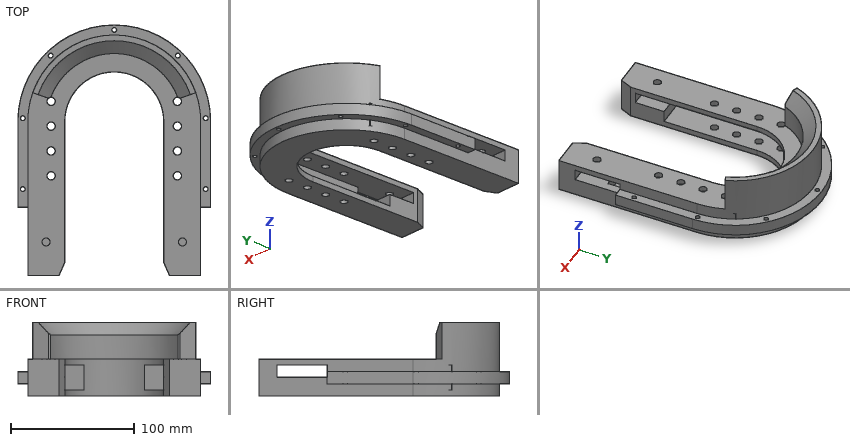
import cadquery as cq
import math

outer_radius = 70.1
inner_radius = 40.0
body_height = 30.0
leg_end_y = -125.0
tip_chamfer_width = 4.7
tip_chamfer_length = 10.5

flange_radius = 78.2
flange_bottom = 10.0
flange_thickness = 10.0
flange_end_y = -69.7
flange_hole_diameter = 3.7
flange_hole_circle = 74.2
flange_hole_step = 44.0
flange_leg_hole_y = -54.9

total_height = 60.0
collar_inner_radius = 55.0
mouth_depth = 10.4
collar_end_angle = 19.4

pocket_bottom = 5.0
pocket_top = 25.2
pocket_outer_x = 62.8
pocket_front_y = -84.1
pocket_back_y = 31.5
window_bottom = 15.5
window_front_y = -110.1

leg_hole_diameter = 6.5
leg_hole_x = 51.2
first_leg_hole_y = 16.3
leg_hole_pitch = 20.1
leg_hole_count = 4
end_hole_x = 55.3
end_hole_y = -97.7


def arch(radius, end_y, bottom, height):
    """Solid half disc extended by a straight block down to end_y."""
    return (
        cq.Workplane("XY", origin=(0, 0, bottom))
        .moveTo(-radius, end_y)
        .lineTo(-radius, 0)
        .threePointArc((0, radius), (radius, 0))
        .lineTo(radius, end_y)
        .close()
        .extrude(height)
    )


def box_between(x_range, y_range, z_range):
    """Block spanning the given coordinate ranges."""
    lows = [min(r) for r in (x_range, y_range, z_range)]
    sizes = [max(r) - min(r) for r in (x_range, y_range, z_range)]
    return cq.Workplane("XY").box(*sizes, centered=False).translate(tuple(lows))


def drills(points, diameter, bottom=0):
    """Vertical cutters from the given level up to the top of the part."""
    return (
        cq.Workplane("XY", origin=(0, 0, bottom))
        .pushPoints(points)
        .circle(diameter / 2)
        .extrude(total_height - bottom)
    )


def throat():
    """Opening between the legs, widened by the chamfers at the leg tips."""
    tip_half_gap = inner_radius + tip_chamfer_width
    chamfer_start_y = leg_end_y + tip_chamfer_length
    return (
        cq.Workplane("XY")
        .moveTo(-tip_half_gap, leg_end_y)
        .lineTo(-inner_radius, chamfer_start_y)
        .lineTo(-inner_radius, 0)
        .threePointArc((0, inner_radius), (inner_radius, 0))
        .lineTo(inner_radius, chamfer_start_y)
        .lineTo(tip_half_gap, leg_end_y)
        .close()
        .extrude(body_height)
    )


def collar():
    """Ring sector with radial ends and a 45 degree mouth."""
    mouth_radius = collar_inner_radius + mouth_depth
    profile = (
        cq.Workplane("XZ")
        .moveTo(collar_inner_radius, body_height)
        .lineTo(outer_radius, body_height)
        .lineTo(outer_radius, total_height)
        .lineTo(mouth_radius, total_height)
        .lineTo(collar_inner_radius, total_height - mouth_depth)
        .close()
    )
    sweep = 180 - 2 * collar_end_angle
    sector = profile.revolve(sweep, (0, 0, 0), (0, 1, 0))
    return sector.rotate((0, 0, 0), (0, 0, 1), collar_end_angle)


def flange_hole_points():
    """Five holes around the arc and one on each straight side."""
    points = [(side * flange_hole_circle, flange_leg_hole_y) for side in (-1, 1)]
    for index in range(-2, 3):
        angle = math.radians(90 + index * flange_hole_step)
        points.append((flange_hole_circle * math.cos(angle), flange_hole_circle * math.sin(angle)))
    return points


body = arch(outer_radius, leg_end_y, 0, body_height)
body = body.union(arch(flange_radius, flange_end_y, flange_bottom, flange_thickness))
body = body.cut(throat()).union(collar())

pockets = box_between(
    (-pocket_outer_x, pocket_outer_x),
    (pocket_front_y, pocket_back_y),
    (pocket_bottom, pocket_top),
)
windows = box_between(
    (-outer_radius, outer_radius),
    (window_front_y, flange_end_y),
    (window_bottom, pocket_top),
)
body = body.cut(pockets).cut(windows)

leg_hole_points = [
    (side * leg_hole_x, first_leg_hole_y - index * leg_hole_pitch)
    for side in (-1, 1)
    for index in range(leg_hole_count)
]
end_hole_points = [(side * end_hole_x, end_hole_y) for side in (-1, 1)]

body = body.cut(drills(leg_hole_points, leg_hole_diameter))
body = body.cut(drills(end_hole_points, leg_hole_diameter, window_bottom))
result = body.cut(drills(flange_hole_points(), flange_hole_diameter))